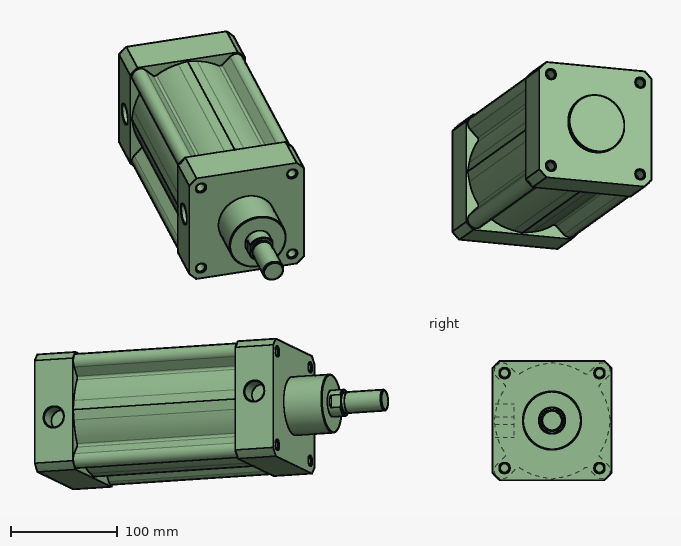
import cadquery as cq
import math


overall_length = 333.0
spigot_length = 4.0
cap_length = 38.0
tube_length = 162.2
nose_length = 38.0
thread_length = 40.0
undercut_length = 3.0

rear_cap_x = spigot_length
tube_x = rear_cap_x + cap_length
front_cap_x = tube_x + tube_length
nose_x = front_cap_x + cap_length
rod_x = nose_x + nose_length
thread_x = overall_length - thread_length

cap_side = 112.0
cap_corner_radius = 74.3
collar_diameter = 55.0
rear_collar_chamfer = 0.3
nose_chamfer = 0.5
bolt_spacing = 89.0
bolt_hole_diameter = 8.3
bolt_hole_mouth = 10.3
bolt_hole_depth = 16.5
port_diameter = 19.3
port_mouth = 20.5
port_depth = 20.0
port_offset_z = 6.0

barrel_radius = 53.5
ridge_half_angle = 10.0
lug_radius = 7.5
lug_center_offset = 46.5
lug_fillet = 2.5

rod_diameter = 25.0
rod_shoulder_chamfer = 0.5
across_flats = 22.0
flat_setback = 3.3
flat_start = rod_x + flat_setback
undercut_diameter = 19.3
thread_diameter = 20.0
thread_chamfer = 1.0


def cylinder(x_start, length, diameter):
    return cq.Workplane("YZ", origin=(x_start, 0, 0)).circle(diameter / 2).extrude(length)


def countersunk_hole(center, direction, diameter, mouth, depth):
    """Cutter for a blind hole with a 45 degree chamfer at its mouth."""
    position = cq.Vector(*center)
    axis = cq.Vector(*direction)
    chamfer = (mouth - diameter) / 2
    bore = cq.Solid.makeCylinder(diameter / 2, depth, position, axis)
    cone = cq.Solid.makeCone(mouth / 2, diameter / 2, chamfer, position, axis)
    return cq.Workplane(bore.fuse(cone))


def make_cap(x_start, outer_face_x, inward, port_z):
    """Square cap with turned corners, four bolt holes in its outer face and a port facing -Y."""
    cap = (
        cq.Workplane("YZ", origin=(x_start, 0, 0))
        .rect(cap_side, cap_side)
        .extrude(cap_length)
        .intersect(cylinder(x_start, cap_length, 2 * cap_corner_radius))
    )
    for side_y in (-1, 1):
        for side_z in (-1, 1):
            center = (outer_face_x, side_y * bolt_spacing / 2, side_z * bolt_spacing / 2)
            bolt_hole = countersunk_hole(
                center, (inward, 0, 0), bolt_hole_diameter, bolt_hole_mouth, bolt_hole_depth
            )
            cap = cap.cut(bolt_hole)
    port_center = (x_start + cap_length / 2, -cap_side / 2, port_z)
    return cap.cut(countersunk_hole(port_center, (0, 1, 0), port_diameter, port_mouth, port_depth))


def make_rear_cap():
    spigot = cylinder(0, spigot_length, collar_diameter).faces("<X").chamfer(rear_collar_chamfer)
    return make_cap(rear_cap_x, rear_cap_x, 1, -port_offset_z).union(spigot)


def make_front_cap():
    nose = cylinder(nose_x, nose_length, collar_diameter).faces(">X").chamfer(nose_chamfer)
    return make_cap(front_cap_x, nose_x, -1, port_offset_z).union(nose)


def make_ridge():
    """Wedge whose two outer faces are tangent to the barrel and meet in a ridge at the +Y side."""
    angle = math.radians(ridge_half_angle)
    tangent_y = barrel_radius * math.cos(angle)
    tangent_z = barrel_radius * math.sin(angle)
    ridge_y = barrel_radius / math.cos(angle)
    outline = [(0, 0), (tangent_y, -tangent_z), (ridge_y, 0), (tangent_y, tangent_z)]
    return cq.Workplane("YZ", origin=(tube_x, 0, 0)).polyline(outline).close().extrude(tube_length)


def make_lug():
    """Round-ended lug along +Y, with its root blended into the barrel."""
    tip_center_y = lug_center_offset * math.sqrt(2)
    fillet_z = lug_radius + lug_fillet
    fillet_y = math.sqrt((barrel_radius + lug_fillet) ** 2 - fillet_z**2)
    barrel_angle = math.atan2(fillet_z, fillet_y)
    root_y = barrel_radius * math.cos(barrel_angle)
    root_z = barrel_radius * math.sin(barrel_angle)
    middle_angle = (barrel_angle + math.pi / 2) / 2
    middle_y = fillet_y - lug_fillet * math.cos(middle_angle)
    middle_z = fillet_z - lug_fillet * math.sin(middle_angle)
    return (
        cq.Workplane("YZ", origin=(tube_x, 0, 0))
        .lineTo(root_y, -root_z)
        .threePointArc((middle_y, -middle_z), (fillet_y, -lug_radius))
        .lineTo(tip_center_y, -lug_radius)
        .threePointArc((tip_center_y + lug_radius, 0), (tip_center_y, lug_radius))
        .lineTo(fillet_y, lug_radius)
        .threePointArc((middle_y, middle_z), (root_y, root_z))
        .close()
        .extrude(tube_length)
    )


def make_tube():
    tube = cylinder(tube_x, tube_length, 2 * barrel_radius)
    ridge = make_ridge()
    lug = make_lug()
    for quarter in range(4):
        turn = 90 * quarter
        tube = tube.union(ridge.rotate((0, 0, 0), (1, 0, 0), turn))
        tube = tube.union(lug.rotate((0, 0, 0), (1, 0, 0), turn + 45))
    return tube


def make_flat_cutter(side):
    """Block that cuts one wrench flat, with a 45 degree slope where the flat begins."""
    flat_y = across_flats / 2
    outer_y = rod_diameter
    outline = [
        (flat_start, flat_y),
        (thread_x, flat_y),
        (thread_x, outer_y),
        (flat_start - (outer_y - flat_y), outer_y),
    ]
    points = [(x, side * y) for x, y in outline]
    return cq.Workplane("XY").polyline(points).close().extrude(rod_diameter, both=True)


def make_rod():
    shank = cylinder(rod_x, thread_x - rod_x, rod_diameter).faces(">X").chamfer(rod_shoulder_chamfer)
    for side in (-1, 1):
        shank = shank.cut(make_flat_cutter(side))
    undercut = cylinder(thread_x, undercut_length, undercut_diameter)
    thread = cylinder(thread_x + undercut_length, thread_length - undercut_length, thread_diameter)
    thread = thread.faces(">X").chamfer(thread_chamfer)
    return shank.union(undercut).union(thread)


rear_cap = make_rear_cap()
tube = make_tube()
front_cap = make_front_cap()
piston_rod = make_rod()

result = cq.Compound.makeCompound([rear_cap.val(), tube.val(), front_cap.val(), piston_rod.val()])